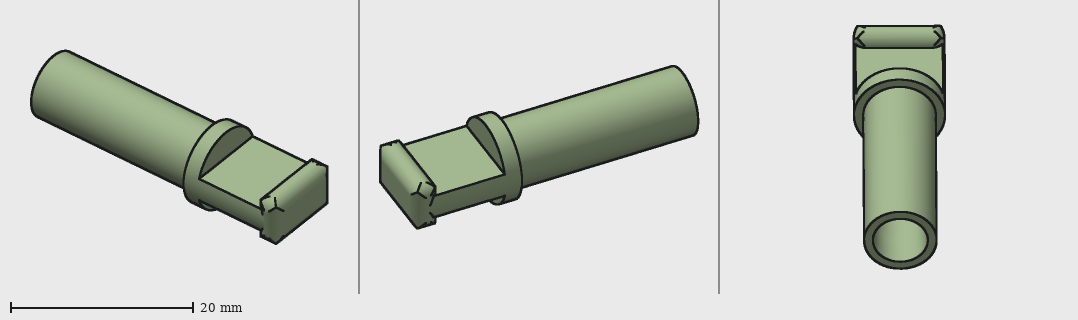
import cadquery as cq

total_length = 35.0
tube_length = 22.0
tube_radius = 4.0
flange_thickness = 2.0
flange_radius = 5.0
blade_thickness = 3.0
bore_mouth_radius = 3.0
bore_depth = 20.0
bore_end_radius = 2.7
head_height = 6.0

head_width = 2 * flange_radius
head_round = blade_thickness / 2
head_center_x = total_length - head_round
flange_end = tube_length + flange_thickness
blade_length = head_center_x - flange_end


def cylinder_along_x(start, length, radius):
    return cq.Workplane("YZ").workplane(offset=start).circle(radius).extrude(length)


def make_blade():
    """Flat blade whose side faces continue the flange's cylinder."""
    barrel = cylinder_along_x(flange_end, blade_length, flange_radius)
    slab = cq.Workplane("XY").box(2 * total_length, head_width, blade_thickness)
    return barrel.intersect(slab)


def make_head():
    """Crossbar common to three rounded outlines, giving mitred corners."""
    plan = (
        cq.Workplane("XY")
        .center(head_center_x, 0)
        .slot2D(head_width, 2 * head_round, 90)
        .extrude(head_height / 2, both=True)
    )
    side = (
        cq.Workplane("XZ")
        .center(head_center_x, 0)
        .slot2D(head_height, 2 * head_round, 90)
        .extrude(head_width / 2, both=True)
    )
    end = (
        cq.Workplane("YZ")
        .workplane(offset=head_center_x - head_round)
        .rect(head_width, head_height)
        .extrude(2 * head_round)
        .edges("|X")
        .fillet(head_round)
    )
    return plan.intersect(side).intersect(end)


def make_bore():
    """Blind bore that narrows from the open tube end."""
    profile = [(0, 0), (0, bore_mouth_radius), (bore_depth, bore_end_radius), (bore_depth, 0)]
    return cq.Workplane("XY").polyline(profile).close().revolve(360, (0, 0), (1, 0))


tube = cylinder_along_x(0, tube_length, tube_radius)
flange = cylinder_along_x(tube_length, flange_thickness, flange_radius)
result = tube.union(flange).union(make_blade()).union(make_head()).cut(make_bore())